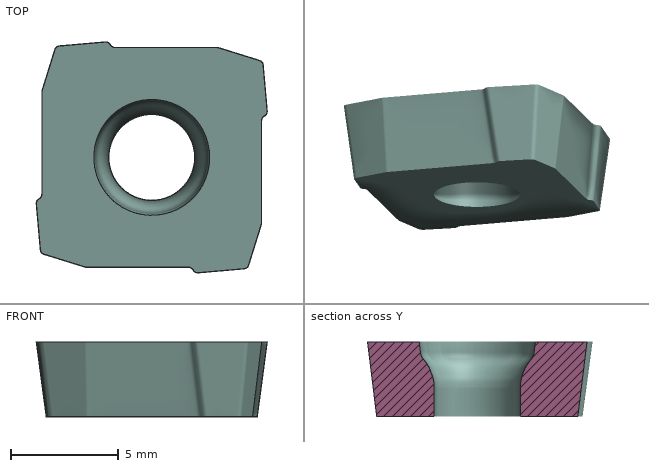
import cadquery as cq
import math


CORNER_COUNT = 4
THICKNESS = 3.5
RELIEF_ANGLE = 7.0
EDGE_RADIUS = 0.25

FLAT_DISTANCE = 5.125
SHOULDER_HEIGHT = 3.08
FLANK_TILT = 17.3
TIP_DISTANCE = 5.385
WIPER_TILT = 5.0
STEP_END = 1.71

HOLE_DIAMETER = 4.0
SEAT_DIAMETER = 5.4
SEAT_DEPTH = 0.5
SEAT_WALL_ANGLE = 7.0
SEAT_ARC_RADIUS = 2.0
SEAT_BLEND_RADIUS = 0.6


def polar(center, radius, angle):
    """Point at a radius and an angle in degrees around a center."""
    return (
        center[0] + radius * math.cos(math.radians(angle)),
        center[1] + radius * math.sin(math.radians(angle)),
    )


def dot(a, b):
    return a[0] * b[0] + a[1] * b[1]


def line_crossing(angle_a, distance_a, angle_b, distance_b):
    """Crossing of two lines, each given by its normal angle and its distance from the axis."""
    ax, ay = polar((0, 0), 1, angle_a)
    bx, by = polar((0, 0), 1, angle_b)
    determinant = ax * by - ay * bx
    return (
        (distance_a * by - distance_b * ay) / determinant,
        (ax * distance_b - bx * distance_a) / determinant,
    )


TOUCHING = 1e-6

FLAT_NORMAL = 180.0
FLANK_NORMAL = FLAT_NORMAL - FLANK_TILT
WIPER_NORMAL = 90.0 + WIPER_TILT
NEXT_FLAT_NORMAL = 90.0

CENTER_SPACING = 2 * EDGE_RADIUS
TOP_ROOT_CENTER = (-STEP_END, FLAT_DISTANCE + EDGE_RADIUS)
TOP_TIP_DROP = TOP_ROOT_CENTER[1] - (TIP_DISTANCE - EDGE_RADIUS)
TOP_TIP_CENTER = (
    TOP_ROOT_CENTER[0] - math.sqrt(CENTER_SPACING**2 - TOP_TIP_DROP**2),
    TOP_ROOT_CENTER[1] - TOP_TIP_DROP,
)

FLANK_DISTANCE = dot(polar((0, 0), 1, FLANK_NORMAL), (-FLAT_DISTANCE, SHOULDER_HEIGHT))
WIPER_DISTANCE = dot(polar((0, 0), 1, WIPER_NORMAL), TOP_TIP_CENTER) + EDGE_RADIUS


def tip_center(root_center, inset):
    """Center of the tip arc that touches both the wiper edge and the root arc."""
    normal = polar((0, 0), 1, WIPER_NORMAL)
    rise = WIPER_DISTANCE - inset - EDGE_RADIUS - dot(normal, root_center)
    run = math.sqrt(CENTER_SPACING**2 - rise**2)
    on_normal = polar(root_center, rise, WIPER_NORMAL)
    return polar(on_normal, run, WIPER_NORMAL + 90)


def corner_arcs(inset):
    """Arcs of one corner in clockwise order, as (center, start angle, end angle)."""
    flat = FLAT_DISTANCE - inset - EDGE_RADIUS
    flank = FLANK_DISTANCE - inset - EDGE_RADIUS
    wiper = WIPER_DISTANCE - inset - EDGE_RADIUS
    shoulder = line_crossing(FLAT_NORMAL, flat, FLANK_NORMAL, flank)
    nose = line_crossing(FLANK_NORMAL, flank, WIPER_NORMAL, wiper)
    root = (TOP_ROOT_CENTER[0] - inset, TOP_ROOT_CENTER[1] - inset)
    tip = tip_center(root, inset)
    step_normal = math.degrees(math.atan2(root[1] - tip[1], root[0] - tip[0]))
    return [
        (shoulder, FLAT_NORMAL, FLANK_NORMAL),
        (nose, FLANK_NORMAL, WIPER_NORMAL),
        (tip, WIPER_NORMAL, step_normal),
        (root, step_normal + 180, NEXT_FLAT_NORMAL + 180),
    ]


def draw_outline(sketch, inset):
    """Draw the closed insert outline with every edge moved inward by the inset."""
    arcs = []
    for corner in range(CORNER_COUNT):
        turn = -360 / CORNER_COUNT * corner
        for center, start, end in corner_arcs(inset):
            center_distance = math.hypot(*center)
            center_angle = math.degrees(math.atan2(center[1], center[0]))
            turned_center = polar((0, 0), center_distance, center_angle + turn)
            angles = (start, (start + end) / 2, end)
            arcs.append([polar(turned_center, EDGE_RADIUS, angle + turn) for angle in angles])

    sketch = sketch.moveTo(*arcs[0][0])
    position = arcs[0][0]
    for start, middle, end in arcs:
        if math.dist(position, start) > TOUCHING:
            sketch = sketch.lineTo(*start)
        sketch = sketch.threePointArc(middle, end)
        position = end
    return sketch.close()


def make_body():
    """Block that narrows evenly from the top face to the bottom face."""
    bottom_inset = THICKNESS * math.tan(math.radians(RELIEF_ANGLE))
    bottom = draw_outline(cq.Workplane("XY"), bottom_inset)
    top = draw_outline(bottom.workplane(offset=THICKNESS, origin=(0, 0, 0)), 0)
    return top.loft(ruled=True)


def make_hole():
    """Through hole with a leaning seat wall, a hollow blend and a convex screw seat."""
    hole_radius = HOLE_DIAMETER / 2
    seat_radius = SEAT_DIAMETER / 2
    wall = math.radians(SEAT_WALL_ANGLE)
    wall_end = (seat_radius - SEAT_DEPTH * math.tan(wall), THICKNESS - SEAT_DEPTH)

    blend_center_radius = wall_end[0] - SEAT_BLEND_RADIUS * math.cos(wall)
    seat_center_radius = hole_radius + SEAT_ARC_RADIUS
    center_gap = seat_center_radius - blend_center_radius
    lean = math.acos(center_gap / (SEAT_ARC_RADIUS + SEAT_BLEND_RADIUS))

    blend_center = (blend_center_radius, wall_end[1] + SEAT_BLEND_RADIUS * math.sin(wall))
    center_drop = (SEAT_ARC_RADIUS + SEAT_BLEND_RADIUS) * math.sin(lean)
    seat_center = (seat_center_radius, blend_center[1] - center_drop)

    blend_middle = polar(blend_center, SEAT_BLEND_RADIUS, -math.degrees(wall + lean) / 2)
    blend_end = polar(blend_center, SEAT_BLEND_RADIUS, -math.degrees(lean))
    seat_middle = polar(seat_center, SEAT_ARC_RADIUS, 180 - math.degrees(lean) / 2)
    seat_end = polar(seat_center, SEAT_ARC_RADIUS, 180)

    profile = (
        cq.Workplane("XZ")
        .moveTo(0, THICKNESS)
        .lineTo(seat_radius, THICKNESS)
        .lineTo(*wall_end)
        .threePointArc(blend_middle, blend_end)
        .threePointArc(seat_middle, seat_end)
        .lineTo(hole_radius, 0)
        .lineTo(0, 0)
        .close()
    )
    return profile.revolve(360, (0, 0, 0), (0, 1, 0))


result = make_body().cut(make_hole())